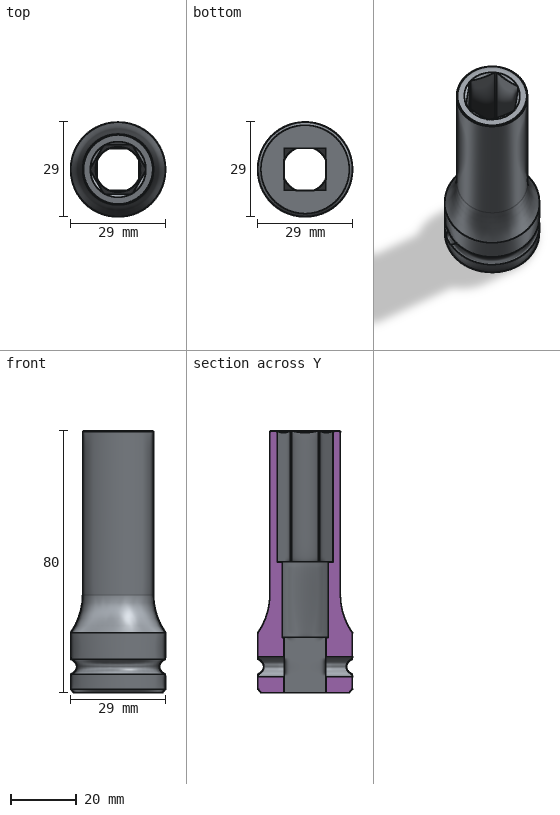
import cadquery as cq
import math

LENGTH = 80.0
BASE_RADIUS = 14.5
BARREL_RADIUS = 10.85
OVERCUT = 1.0

BASE_CHAMFER_WIDTH = 1.0
BASE_CHAMFER_HEIGHT = 1.2
BASE_TOP = 18.4
FLARE_TOP = 30.0
RIM_CHAMFER = 0.3

GROOVE_HEIGHT = 8.0
GROOVE_HALF_WIDTH = 2.25
GROOVE_DEPTH = 1.5
PIN_HOLE_DIAMETER = 6.0

HEX_ACROSS_FLATS = 15.0
HEX_CORNER_RADIUS = 8.5
HEX_DEPTH = 40.0
LEAD_IN_ANGLE = 60.0

DRIVE_WIDTH = 12.75
DRIVE_DEPTH = 17.0
BORE_RADIUS = 6.95


def make_body():
    """Revolve the outer profile: base, ring groove, concave flare and barrel."""
    flare_rise = FLARE_TOP - BASE_TOP
    flare_step = BASE_RADIUS - BARREL_RADIUS
    flare_radius = (flare_rise**2 + flare_step**2) / (2 * flare_step)
    flare_half_angle = math.asin(flare_rise / flare_radius) / 2
    flare_mid_radius = BARREL_RADIUS + flare_radius * (1 - math.cos(flare_half_angle))
    flare_mid_height = FLARE_TOP - flare_radius * math.sin(flare_half_angle)
    groove_bottom = GROOVE_HEIGHT - GROOVE_HALF_WIDTH
    groove_top = GROOVE_HEIGHT + GROOVE_HALF_WIDTH
    groove_root = BASE_RADIUS - GROOVE_DEPTH
    profile = (
        cq.Workplane("YZ")
        .moveTo(0, 0)
        .lineTo(BASE_RADIUS - BASE_CHAMFER_WIDTH, 0)
        .lineTo(BASE_RADIUS, BASE_CHAMFER_HEIGHT)
        .lineTo(BASE_RADIUS, groove_bottom)
        .threePointArc((groove_root, GROOVE_HEIGHT), (BASE_RADIUS, groove_top))
        .lineTo(BASE_RADIUS, BASE_TOP)
        .threePointArc((flare_mid_radius, flare_mid_height), (BARREL_RADIUS, FLARE_TOP))
        .lineTo(BARREL_RADIUS, LENGTH - RIM_CHAMFER)
        .lineTo(BARREL_RADIUS - RIM_CHAMFER, LENGTH)
        .lineTo(0, LENGTH)
        .close()
    )
    return profile.revolve(360, (0, 0, 0), (0, 1, 0))


def make_hex_socket():
    """Hexagon with two corners on the X axis, its sharp corners rounded off by a cylinder."""
    across_corners = HEX_ACROSS_FLATS / math.cos(math.pi / 6)
    floor = cq.Workplane("XY").workplane(offset=LENGTH - HEX_DEPTH)
    hexagon = floor.polygon(6, across_corners).extrude(HEX_DEPTH)
    corner_limit = floor.circle(HEX_CORNER_RADIUS).extrude(HEX_DEPTH)
    return hexagon.intersect(corner_limit)


def make_lead_in():
    """Cone that eases the mouth of the hexagon, running out inside the flats."""
    cone_height = HEX_CORNER_RADIUS / math.tan(math.radians(LEAD_IN_ANGLE))
    return cq.Workplane("XY").add(
        cq.Solid.makeCone(0, HEX_CORNER_RADIUS, cone_height, cq.Vector(0, 0, LENGTH - cone_height))
    )


def make_drive():
    """Square drive recess rising from the bottom face."""
    return cq.Workplane("XY").rect(DRIVE_WIDTH, DRIVE_WIDTH).extrude(DRIVE_DEPTH)


def make_bore():
    """Round bore joining the drive recess to the hexagon."""
    bore_length = LENGTH - HEX_DEPTH - DRIVE_DEPTH
    return cq.Workplane("XY").workplane(offset=DRIVE_DEPTH).circle(BORE_RADIUS).extrude(bore_length)


def make_pin_hole():
    """Cross hole along X at the height of the ring groove."""
    hole_length = 2 * (BASE_RADIUS + OVERCUT)
    return (
        cq.Workplane("YZ")
        .workplane(offset=-hole_length / 2)
        .center(0, GROOVE_HEIGHT)
        .circle(PIN_HOLE_DIAMETER / 2)
        .extrude(hole_length)
    )


result = (
    make_body()
    .cut(make_hex_socket())
    .cut(make_lead_in())
    .cut(make_drive())
    .cut(make_bore())
    .cut(make_pin_hole())
)